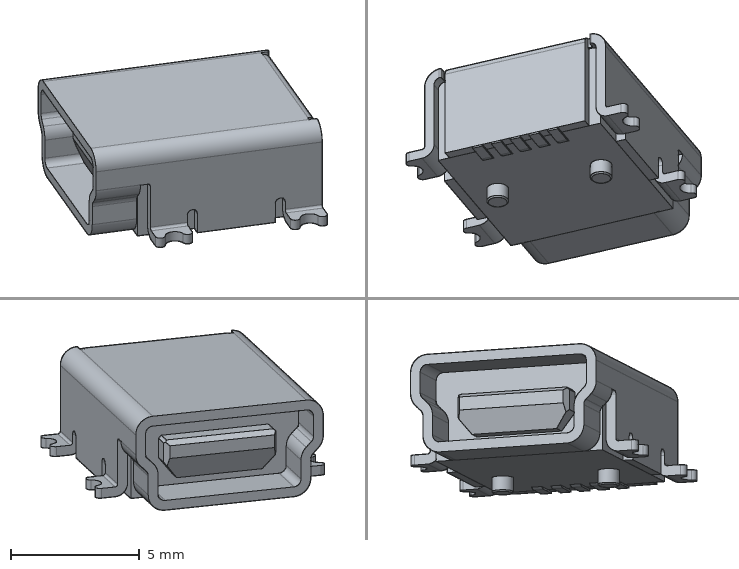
import cadquery as cq
import math


SHEET = 0.4
SHELL_WIDTH = 7.7
SHELL_HEIGHT = 3.9
SHELL_LENGTH = 9.2
OUTER_RADIUS = 0.7
INNER_RADIUS = OUTER_RADIUS - SHEET
INNER_WIDTH = SHELL_WIDTH - 2 * SHEET
INNER_HEIGHT = SHELL_HEIGHT - SHEET

MOUTH_LENGTH = 1.805
MOUTH_LOWER_WIDTH = 6.67
SHOULDER_TOP = 2.1
SHOULDER_BOTTOM = 1.6
SLEEVE_LENGTH = SHELL_LENGTH - MOUTH_LENGTH

NOTCH_LENGTH = 0.4
NOTCH_HEIGHT = 2.38
NOTCH_RADIUS = 0.11
SLOT_WIDTH = 0.4
SLOT_HEIGHT = 1.02

FEET_SPAN = 9.4
FOOT_LENGTH = 1.5
FOOT_BEND_INNER = 0.1
FOOT_BEND_OUTER = FOOT_BEND_INNER + SHEET
LOBE_RADIUS = 0.2
SCOOP_INSET = 0.04
FRONT_FOOT_END = SLEEVE_LENGTH - NOTCH_LENGTH
FRONT_FOOT_START = FRONT_FOOT_END - FOOT_LENGTH
FOOT_STARTS = (0, FRONT_FOOT_START)
SLOT_STARTS = (FOOT_LENGTH, FRONT_FOOT_START - SLOT_WIDTH)

FLAP_WIDTH = 5.94
FLAP_BEND_RADIUS = 0.32
ROOF_FLAT_WIDTH = SHELL_WIDTH - 2 * OUTER_RADIUS
ROOF_CORNER_RADIUS = 0.075

TONGUE_LENGTH = 0.9
TONGUE_WIDTH = 4.62
TONGUE_TOP = 2.46
TONGUE_CORNER = 0.11
TONGUE_SIDE_BOTTOM = 1.56
TONGUE_BOTTOM = 0.86
TONGUE_BOTTOM_WIDTH = 3.51
NOSE_BEVEL_DEPTH = 0.16
NOSE_BEVEL_RUN = 0.28
NOSE_BOTTOM = 1.79
UNDERCUT_RUN = 0.34

POST_DIAMETER = 0.85
POST_LENGTH = 0.6
POST_SPACING = 4.4
POST_DEPTH = 3.3
POST_CHAMFER = 0.06

TAIL_COUNT = 5
TAIL_PITCH = 0.8
TAIL_WIDTH = 0.42
TAIL_DROP = 0.075
TAIL_LENGTH = 1.12
TAIL_BEND_RADIUS = 0.4


def block(x_min, x_max, depth_min, depth_max, z_min, z_max):
    """Box between two X values, two depths and two heights."""
    size = (x_max - x_min, depth_max - depth_min, z_max - z_min)
    return cq.Workplane("XY").box(*size, centered=False).translate((x_min, -depth_max, z_min))


def across(width, depth_min, depth_max, z_min, z_max):
    """Box centred on the YZ plane."""
    return block(-width / 2, width / 2, depth_min, depth_max, z_min, z_max)


def both_sides(body):
    """The body together with its mirror image in the YZ plane."""
    return body.union(body.mirror("YZ"))


def arch(width, height, radius, depth_min, depth_max):
    """Long block with rounded upper edges."""
    return across(width, depth_min, depth_max, 0, height).edges("|Y and >Z").fillet(radius)



def mouth_block(inset):
    """Solid with the mouth tube's outline, moved inward by the inset."""
    top = SHELL_WIDTH / 2 - inset
    low = MOUTH_LOWER_WIDTH / 2 - inset
    slope_angle = math.atan2(top - low, SHOULDER_TOP - SHOULDER_BOTTOM)
    rise = inset * math.tan(slope_angle / 2)
    bend_z = SHOULDER_BOTTOM + rise
    shoulder_z = SHOULDER_TOP + rise
    right = [(low, inset), (low, bend_z), (top, shoulder_z), (top, SHELL_HEIGHT - inset)]
    left = [(-x, z) for x, z in reversed(right)]
    body = (
        cq.Workplane("XZ", origin=(0, -SLEEVE_LENGTH, 0))
        .polyline(right + left).close().extrude(MOUTH_LENGTH)
    )
    body = body.edges(long_edges_at(bend_z)).fillet(INNER_RADIUS + inset)
    body = body.edges(long_edges_at(shoulder_z)).fillet(OUTER_RADIUS - inset)
    return body.edges("|Y").edges("<Z or >Z").fillet(OUTER_RADIUS - inset)


def long_edges_at(z):
    """Selector for the mouth edges whose middle lies at height z."""
    margin = 0.01
    return cq.selectors.BoxSelector(
        (-SHELL_WIDTH, -SHELL_LENGTH + margin, z - margin),
        (SHELL_WIDTH, -SLEEVE_LENGTH - margin, z + margin),
    )


def mouth_tube():
    return mouth_block(0).cut(mouth_block(SHEET))


def side_slot(start):
    """Round-topped relief slot through one side wall."""
    slot = block(INNER_WIDTH / 2, SHELL_WIDTH / 2, start, start + SLOT_WIDTH, 0, SLOT_HEIGHT - SLOT_WIDTH / 2)
    round_top = (
        cq.Workplane("YZ", origin=(INNER_WIDTH / 2, -start - SLOT_WIDTH / 2, SLOT_HEIGHT - SLOT_WIDTH / 2))
        .circle(SLOT_WIDTH / 2).extrude(SHEET)
    )
    return slot.union(round_top)


def side_notch():
    """Gap between the front foot and the mouth tube."""
    notch = block(INNER_WIDTH / 2, SHELL_WIDTH / 2, FRONT_FOOT_END, SLEEVE_LENGTH, 0, NOTCH_HEIGHT)
    return notch.edges("|X and >Z and >Y").fillet(NOTCH_RADIUS)


def foot_bend(start):
    """Side view of the wall turning outward into the flat foot."""
    inner_x = INNER_WIDTH / 2
    outer_x = SHELL_WIDTH / 2
    bend_x = outer_x + FOOT_BEND_INNER
    tip_x = FEET_SPAN / 2
    return (
        cq.Workplane("XZ", origin=(0, -start, 0))
        .moveTo(inner_x, FOOT_BEND_OUTER)
        .radiusArc((bend_x, 0), -FOOT_BEND_OUTER)
        .lineTo(tip_x, 0)
        .lineTo(tip_x, SHEET)
        .lineTo(bend_x, SHEET)
        .radiusArc((outer_x, FOOT_BEND_OUTER), FOOT_BEND_INNER)
        .close().extrude(FOOT_LENGTH)
    )


def foot_plan(start):
    """Plan of a foot: two round lobes either side of a scooped end."""
    half = FOOT_LENGTH / 2
    tip_x = FEET_SPAN / 2
    root_x = INNER_WIDTH / 2
    lobe_x = tip_x - LOBE_RADIUS
    lobe_y = half - LOBE_RADIUS
    scoop_x = tip_x - SCOOP_INSET
    reach = math.hypot(scoop_x - lobe_x, lobe_y)
    scoop_radius = reach - LOBE_RADIUS
    tangent_x = lobe_x + LOBE_RADIUS * (scoop_x - lobe_x) / reach
    tangent_y = lobe_y - LOBE_RADIUS * lobe_y / reach
    return (
        cq.Workplane("XY", origin=(0, -start - half, 0))
        .moveTo(root_x, half)
        .lineTo(lobe_x, half)
        .threePointArc((tip_x, lobe_y), (tangent_x, tangent_y))
        .threePointArc((scoop_x - scoop_radius, 0), (tangent_x, -tangent_y))
        .threePointArc((tip_x, -lobe_y), (lobe_x, -half))
        .lineTo(root_x, -half)
        .close().extrude(FOOT_BEND_OUTER)
    )


def foot(start):
    return foot_bend(start).intersect(foot_plan(start))


def rear_flap():
    """Rear plate folded down from the roof."""
    flap = across(FLAP_WIDTH, 0, SHEET, 0, SHELL_HEIGHT)
    return flap.edges("|X and >Y and >Z").fillet(FLAP_BEND_RADIUS)


def roof_corners():
    """Selector for the two upright roof edges at the rear, beside the flap."""
    half = ROOF_FLAT_WIDTH / 2
    margin = 0.01
    return cq.selectors.BoxSelector(
        (-half - margin, -margin, INNER_HEIGHT + margin),
        (half + margin, margin, SHELL_HEIGHT - margin),
    )


def make_shell():
    shell = arch(SHELL_WIDTH, SHELL_HEIGHT, OUTER_RADIUS, 0, SLEEVE_LENGTH)
    shell = shell.cut(arch(INNER_WIDTH, INNER_HEIGHT, INNER_RADIUS, 0, SLEEVE_LENGTH))
    shell = shell.cut(across(ROOF_FLAT_WIDTH, 0, FLAP_BEND_RADIUS, 0, SHELL_HEIGHT))
    shell = shell.edges(roof_corners()).fillet(ROOF_CORNER_RADIUS)
    shell = shell.union(rear_flap()).union(mouth_tube())
    shell = shell.cut(both_sides(side_notch()))
    for start in SLOT_STARTS:
        shell = shell.cut(both_sides(side_slot(start)))
    for start in FOOT_STARTS:
        wall_end = block(INNER_WIDTH / 2, SHELL_WIDTH / 2, start, start + FOOT_LENGTH, 0, FOOT_BEND_OUTER)
        shell = shell.cut(both_sides(wall_end)).union(both_sides(foot(start)))
    return shell



def tongue_bar():
    """Straight tongue with clipped upper corners and a tapered lower part."""
    half = TONGUE_WIDTH / 2
    right = [
        (TONGUE_BOTTOM_WIDTH / 2, TONGUE_BOTTOM),
        (half, TONGUE_SIDE_BOTTOM),
        (half, TONGUE_TOP - TONGUE_CORNER),
        (half - TONGUE_CORNER, TONGUE_TOP),
    ]
    left = [(-x, z) for x, z in reversed(right)]
    return (
        cq.Workplane("XZ", origin=(0, -SLEEVE_LENGTH, 0))
        .polyline(right + left).close().extrude(TONGUE_LENGTH)
    )


def tongue():
    """Contact tongue with a bevelled nose and an undercut lower face."""
    half = TONGUE_WIDTH / 2
    nose_y = -SLEEVE_LENGTH - TONGUE_LENGTH
    bevel_y = nose_y + NOSE_BEVEL_RUN
    undercut = (
        cq.Workplane("YZ", origin=(-half, 0, 0))
        .polyline([
            (nose_y, NOSE_BOTTOM),
            (nose_y + UNDERCUT_RUN, TONGUE_BOTTOM),
            (nose_y, TONGUE_BOTTOM),
        ])
        .close().extrude(TONGUE_WIDTH)
    )
    top_bevel = (
        cq.Workplane("YZ", origin=(-half, 0, 0))
        .polyline([(nose_y, TONGUE_TOP - NOSE_BEVEL_DEPTH), (bevel_y, TONGUE_TOP), (nose_y, TONGUE_TOP)])
        .close().extrude(TONGUE_WIDTH)
    )
    side_bevel = (
        cq.Workplane("XY")
        .polyline([(half - NOSE_BEVEL_DEPTH, nose_y), (half, bevel_y), (half, nose_y)])
        .close().extrude(TONGUE_TOP)
    )
    return tongue_bar().cut(undercut).cut(top_bevel).cut(both_sides(side_bevel))


def locating_post(x):
    post = (
        cq.Workplane("XY", origin=(x, -POST_DEPTH, 0))
        .circle(POST_DIAMETER / 2).extrude(-POST_LENGTH)
    )
    return post.faces("<Z").chamfer(POST_CHAMFER)


def contact_tail(x):
    """Flat tail that curves up into the insulator at its inner end."""
    bend_run = math.sqrt(TAIL_BEND_RADIUS ** 2 - (TAIL_BEND_RADIUS - TAIL_DROP) ** 2)
    return (
        cq.Workplane("YZ", origin=(x - TAIL_WIDTH / 2, 0, 0))
        .lineTo(0, -TAIL_DROP)
        .lineTo(bend_run - TAIL_LENGTH, -TAIL_DROP)
        .radiusArc((-TAIL_LENGTH, 0), TAIL_BEND_RADIUS)
        .close().extrude(TAIL_WIDTH)
    )


def make_insulator():
    insulator = arch(INNER_WIDTH, INNER_HEIGHT, INNER_RADIUS, SHEET, SLEEVE_LENGTH)
    insulator = insulator.union(tongue())
    for x in (-POST_SPACING / 2, POST_SPACING / 2):
        insulator = insulator.union(locating_post(x))
    for i in range(TAIL_COUNT):
        x = (i - (TAIL_COUNT - 1) / 2) * TAIL_PITCH
        insulator = insulator.union(contact_tail(x))
    return insulator


shell = make_shell()
insulator = make_insulator()

result = cq.Compound.makeCompound([shell.val(), insulator.val()])